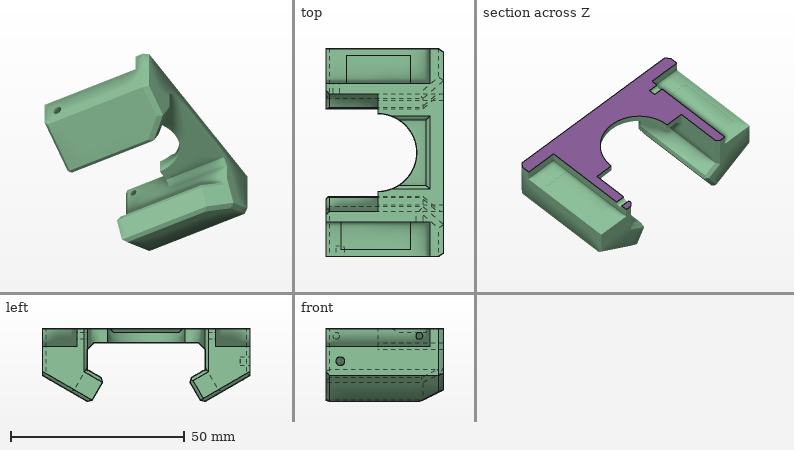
import cadquery as cq
import math

length = 34.0
width = 60.0
height = 21.0
half_width = width / 2

inner_half_width = 17.0
hook_angle = math.radians(30)
hook_thickness = 8.0
hook_cut = 6.0
bevel = 1.0
rear_bevel_length = 1.5

plate_front = 15.0
plate_thickness = 4.1
gusset_leg = 1.9
opening_radius = 11.2

recess_half_width = 10.5
recess_end = 30.0
recess_depth = 1.0

ledge_length = 30.0
ledge_width = 10.0
ledge_depth = 5.1
ledge_wall = half_width - ledge_width
seat_end = 24.4
seat_start_left = 6.0
seat_start_right = 4.4
seat_margin = 2.0
seat_depth = 0.05

pin_diameter = 2.0
pin_depth = 3.0
pin_drop = 2.05
pin_x_left = 3.0
pin_x_right = 27.0
side_hole_diameter = 2.5
side_hole_x = 4.2
side_hole_drop = 9.35
side_hole_depth = 3.0
side_hole_floor_tilt = math.radians(14)

along_hook = (-math.cos(hook_angle), -math.sin(hook_angle))
across_hook = (math.sin(hook_angle), -math.cos(hook_angle))


def moved(point, direction, distance):
    """The (y, z) point reached by going a distance along a direction."""
    return (point[0] + direction[0] * distance, point[1] + direction[1] * distance)


hook_length = hook_thickness * math.tan(hook_angle) + bevel
hook_drop = hook_thickness / math.cos(hook_angle)
hook_root = (inner_half_width, hook_drop - height)
tip_top = moved(hook_root, along_hook, hook_length)
tip_bottom = moved(tip_top, across_hook, hook_thickness)
outer_bottom = (half_width, -height + (half_width - inner_half_width) * math.tan(hook_angle))


def wedge(origin, x_direction, along, leg_x, leg_y):
    """A long prism that trims a corner by two legs; the edge runs through the origin."""
    plane = cq.Plane(origin=origin, xDir=x_direction, normal=along)
    corner = cq.Workplane(plane).polyline([(0, 0), (leg_x, 0), (0, leg_y)]).close()
    return corner.extrude(width, both=True)


def edges_at(midpoints):
    """A selector for the edges whose middles lie nearest to the given points."""
    selectors = [cq.selectors.NearestToPointSelector(point) for point in midpoints]
    combined = selectors[0]
    for selector in selectors[1:]:
        combined = combined + selector
    return combined


def middle(x, first, second):
    """The point halfway between two (y, z) corners, at the given x."""
    return (x, (first[0] + second[0]) / 2, (first[1] + second[1]) / 2)


def hooked_arm(bevel_tip):
    """The arm on the +Y side; bevel_tip also bevels the front edge of the hook's tip face."""
    inner_top = (inner_half_width, 0)
    section = [(half_width, 0), outer_bottom, tip_bottom, tip_top, hook_root, inner_top]
    arm = cq.Workplane("YZ").polyline(section).close().extrude(length)

    arm = arm.cut(wedge((length, *tip_top), (-1, 0, 0), (0, *across_hook), hook_cut, hook_cut))

    front_edges = [
        middle(0, outer_bottom, tip_bottom),
        middle(0, tip_top, hook_root),
        middle(0, hook_root, inner_top),
    ]
    if bevel_tip:
        front_edges.append(middle(0, tip_top, tip_bottom))
    arm = arm.edges(edges_at(front_edges)).chamfer(bevel)

    straight_middle = (length - hook_cut) / 2
    cut_middle = (length - hook_cut / 2, *moved(tip_top, along_hook, -hook_cut / 2))
    tip_edges = [(straight_middle, *tip_top), (straight_middle, *tip_bottom), cut_middle]
    arm = arm.edges(edges_at(tip_edges)).chamfer(bevel)

    rear_outer = wedge((length, half_width, 0), (-1, 0, 0), (0, 0, 1), rear_bevel_length, bevel)
    rear_bottom = wedge(
        (length, *outer_bottom), (-1, 0, 0), (0, *along_hook), rear_bevel_length, -bevel
    )
    toward_root = (-along_hook[0], -along_hook[1])
    cut_bottom = wedge(
        (length - hook_cut, *tip_bottom), (-1, *toward_root), (1, *toward_root), rear_bevel_length, bevel
    )
    return arm.cut(rear_outer).cut(rear_bottom).cut(cut_bottom)


def top_plate():
    """The plate between the arms, with a gusset along each inner wall."""
    gusset_bottom = -plate_thickness - gusset_leg
    gusset_start = inner_half_width - gusset_leg
    section = [
        (-inner_half_width, 0),
        (inner_half_width, 0),
        (inner_half_width, gusset_bottom),
        (gusset_start, -plate_thickness),
        (-gusset_start, -plate_thickness),
        (-inner_half_width, gusset_bottom),
    ]
    plate = cq.Workplane("YZ").workplane(offset=plate_front).polyline(section).close()
    return plate.extrude(length - plate_front)


def plate_opening():
    """The round opening through the front of the plate."""
    opening = cq.Workplane("XY").center(plate_front, 0).circle(opening_radius)
    return opening.extrude(-plate_thickness)


def plate_recess():
    """The square recess, narrowing downward by as much as it is deep."""
    recess_length = recess_end - plate_front + recess_depth
    recess = cq.Workplane("XY").center(recess_end - recess_length / 2, 0)
    return recess.rect(recess_length, 2 * recess_half_width).extrude(-recess_depth, taper=45)


def ledge(side, seat_start):
    """The step along an outer top edge, with the seat sunk into it; side is +1 or -1 in Y."""
    step = cq.Workplane("XY").box(ledge_length, ledge_width, ledge_depth, centered=False)
    seat = cq.Workplane("XY").box(
        seat_end - seat_start, ledge_width - seat_margin, ledge_depth + seat_depth, centered=False
    )
    step = step.translate((0, ledge_wall, -ledge_depth))
    seat = seat.translate((seat_start, ledge_wall, -ledge_depth - seat_depth))
    cutter = step.union(seat)
    return cutter if side > 0 else cutter.mirror("XZ")


def hole(x, start_y, drop, diameter, depth):
    """A round hole running from start_y toward +Y."""
    plane = cq.Plane(origin=(x, start_y, -drop), xDir=(1, 0, 0), normal=(0, 1, 0))
    return cq.Workplane(plane).circle(diameter / 2).extrude(depth)


def side_hole():
    """The blind hole in the -Y side; the rear half of its floor rises at a slight tilt."""
    bore = hole(side_hole_x, -half_width, side_hole_drop, side_hole_diameter, side_hole_depth)
    floor_y = side_hole_depth - half_width
    rise = side_hole_diameter * math.tan(side_hole_floor_tilt)
    slope = [(0, 0), (side_hole_diameter, 0), (side_hole_diameter, -rise)]
    floor = cq.Workplane("XY").polyline(slope).close().extrude(side_hole_diameter, both=True)
    return bore.cut(floor.translate((seat_start_right, floor_y, -side_hole_drop)))


body = top_plate()
body = body.union(hooked_arm(bevel_tip=False))
body = body.union(hooked_arm(bevel_tip=True).mirror("XZ"))
body = body.cut(plate_opening()).cut(plate_recess())
body = body.cut(ledge(1, seat_start_left)).cut(ledge(-1, seat_start_right))
body = body.cut(hole(pin_x_left, inner_half_width, pin_drop, pin_diameter, pin_depth))
body = body.cut(hole(pin_x_right, -ledge_wall, pin_drop, pin_diameter, pin_depth))
body = body.cut(side_hole())

result = body.clean()